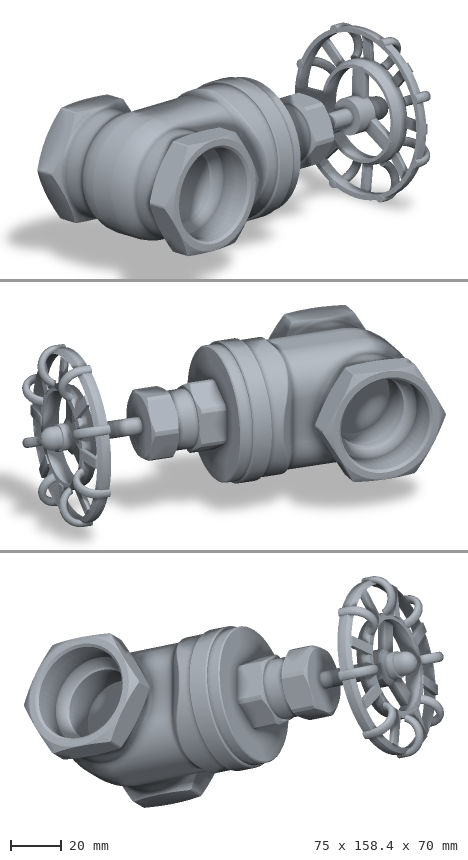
import cadquery as cq
import math


VALVE_LENGTH = 158.4

SELECTION_MARGIN = 0.2

HOUSING_LENGTH = 75.0
PIPE_RADIUS = 44.0 / 2
PIPE_CREASE_FILLET = 1.6

CHAMBER_HALF_WIDTH = 40.0 / 2
CHAMBER_HALF_DEPTH = 24.9
CHAMBER_CORNER_RADIUS = 30.0 / 2
CHAMBER_CENTRE_Y = -0.8
NECK_TOP_Y = 32.5
NECK_FILLET = 1.9
FLARE_ANGLE = 45.0
FLARE_FILLET = 0.8

PIPE_HEX_ACROSS_FLATS = 46.0
PIPE_HEX_CORNER_RADIUS = 26.3
PIPE_HEX_FACE_RADIUS = 22.8
PIPE_HEX_LENGTH = 12.0
PIPE_HEX_CHAMFER = 1.9
HEX_ROOT_LENGTH = 1.7

BORE_RADIUS = 38.0 / 2
BORE_MOUTH_RADIUS = 40.0 / 2
BORE_DEPTH = 14.3
SEAT_RADIUS = 31.7 / 2
PORT_RADIUS = 30.0 / 2
PORT_CHAMFER = 0.5
GATE_THICKNESS = 10.1

FLANGE_RADIUS = 55.0 / 2
BAND_RADIUS = 57.0 / 2
BAND_BOTTOM_Y = 44.8
BAND_TOP_Y = 53.0
FLANGE_TOP_Y = 58.3
FLANGE_EDGE_CHAMFER = 0.5

STEM_HEX_ACROSS_FLATS = 26.1
STEM_HEX_CORNER_RADIUS = 14.5
BONNET_HEX_TOP_Y = 69.9
COLLAR_RADIUS = 24.0 / 2
HEX_CHAMFER = 1.0
HEX_FACE_INSET = 0.2

NUT_BOTTOM_Y = 78.4
NUT_TOP_Y = 90.3
NUT_TURN = 5.0
STEM_RADIUS = 7.0 / 2

WHEEL_TURN = 0.7
HUB_RADIUS = 15.0 / 2
HUB_BOTTOM_Y = 111.0
HUB_SHOULDER_Y = 119.6
HUB_SHOULDER_HEIGHT = 1.6
WHEEL_BOTTOM_Y = 116.9
WHEEL_TOP_Y = 124.2

CAP_RADIUS = 9.5 / 2
CAP_BASE_RADIUS = 5.4
CAP_BASE_TOP_Y = 124.8
CAP_DOME_Y = 127.5
CAP_TOP_Y = VALVE_LENGTH - PIPE_HEX_CORNER_RADIUS

RIM_RADIUS = 70.0 / 2
RIM_INNER_RADIUS = 66.0 / 2
RIM_BEVEL_Y = 120.5
RIM_TOP_Y = 122.1

RING_RADIUS = 21.4
RING_TOP_Y = 123.5
RING_INNER_RADIUS = 37.0 / 2
RING_FACE_RADIUS = 20.0
RING_CHAMFER_HEIGHT = 3.2

ARM_COUNT = 3
FIRST_ARM_ANGLE = -90.0
ARM_WIDTH = 6.0
ARM_HEIGHT = 3.3

SPOKE_COUNT = 8
SPOKE_WIDTH = 4.1
SPOKE_HEIGHT = 1.9
SPOKE_RIM_TOP_Y = 122.9
SPOKE_RIM_OVERLAP = 0.3

LOOP_COUNT = 8
LOOP_TUBE_THICKNESS = 3.0
LOOP_TUBE_WIDTH = 4.0
LOOP_OUTER_RADIUS = 34.8
LOOP_INNER_RADIUS = 21.4
LOOP_BOTTOM_Y = 116.6
LOOP_BEND_Y = 120.4
LOOP_INNER_Y = 123.2


def revolve_about_y(points):
    """Solid of revolution about Y from the (radius, y) corners of its half section."""
    return cq.Workplane("XY").polyline(points).close().revolve(360, (0, 0), (0, 1))


def disc(radius, bottom, top):
    """Cylinder about Y between two heights."""
    return cq.Workplane("XZ", origin=(0, bottom, 0)).circle(radius).extrude(bottom - top)


def hex_bar(across_flats, bottom, top):
    """Hexagonal bar along Y with two corners on the X axis."""
    corner_diameter = across_flats / math.cos(math.radians(30))
    return cq.Workplane("XZ", origin=(0, bottom, 0)).polygon(6, corner_diameter).extrude(bottom - top)


def turned_about_y(body, angle):
    return body.rotate((0, 0, 0), (0, 1, 0), angle)


def edges_between(low_x, high_x, low_y, high_y):
    """Selector of the edges whose centres lie between the given X and Y limits."""
    return cq.selectors.BoxSelector((low_x, low_y, -BAND_RADIUS), (high_x, high_y, BAND_RADIUS))


def rounded_hex(across_flats, corner_radius, bottom, top, chamfer_bottom):
    """Hexagon along Y with rounded corners, chamfered at the top and, if asked, at the bottom."""
    face_radius = across_flats / 2 - HEX_FACE_INSET
    if chamfer_bottom:
        lower_points = [(0, bottom), (face_radius, bottom), (corner_radius, bottom + HEX_CHAMFER)]
    else:
        lower_points = [(0, bottom), (corner_radius, bottom)]
    upper_points = [(corner_radius, top - HEX_CHAMFER), (face_radius, top), (0, top)]
    envelope = revolve_about_y(lower_points + upper_points)
    return hex_bar(across_flats, bottom, top).intersect(envelope)




def neck_outline(y):
    """Workplane at height y, facing up, carrying the rounded rectangle of the neck."""
    sketch = (
        cq.Sketch()
        .rect(2 * CHAMBER_HALF_WIDTH, 2 * CHAMBER_HALF_DEPTH)
        .vertices()
        .fillet(CHAMBER_CORNER_RADIUS)
    )
    plane = cq.Plane(origin=(0, y, 0), xDir=(1, 0, 0), normal=(0, 1, 0))
    return cq.Workplane(plane).placeSketch(sketch)


def make_chamber():
    """Barrel about X below, carried upwards as a neck of the same rounded outline."""
    flat_x = CHAMBER_HALF_WIDTH - CHAMBER_CORNER_RADIUS
    flat_r = CHAMBER_HALF_DEPTH - CHAMBER_CORNER_RADIUS
    arc_step = CHAMBER_CORNER_RADIUS * math.sqrt(0.5)
    barrel = (
        cq.Workplane("XY", origin=(0, CHAMBER_CENTRE_Y, 0))
        .moveTo(-CHAMBER_HALF_WIDTH, 0)
        .lineTo(-CHAMBER_HALF_WIDTH, flat_r)
        .threePointArc((-flat_x - arc_step, flat_r + arc_step), (-flat_x, CHAMBER_HALF_DEPTH))
        .lineTo(flat_x, CHAMBER_HALF_DEPTH)
        .threePointArc((flat_x + arc_step, flat_r + arc_step), (CHAMBER_HALF_WIDTH, flat_r))
        .lineTo(CHAMBER_HALF_WIDTH, 0)
        .close()
        .revolve(360, (0, 0), (1, 0))
    )
    neck = neck_outline(CHAMBER_CENTRE_Y).extrude(NECK_TOP_Y - CHAMBER_CENTRE_Y)
    return barrel.union(neck)


def make_flange():
    """Round flange whose underside flares out of the neck at 45 degrees."""
    flare_height = BAND_BOTTOM_Y - NECK_TOP_Y
    flare = neck_outline(NECK_TOP_Y).extrude(flare_height, taper=-FLARE_ANGLE)
    return flare.intersect(disc(FLANGE_RADIUS, NECK_TOP_Y, BAND_BOTTOM_Y))


def make_pipe_hex():
    """Hexagon of the -X pipe end, both ends chamfered, with its root blending into the pipe."""
    outer_x = -HOUSING_LENGTH / 2
    inner_x = outer_x + PIPE_HEX_LENGTH
    corner_diameter = PIPE_HEX_ACROSS_FLATS / math.cos(math.radians(30))
    prism = (
        cq.Workplane("YZ", origin=(outer_x, 0, 0))
        .polygon(6, corner_diameter)
        .extrude(PIPE_HEX_LENGTH)
    )
    envelope = (
        cq.Workplane("XY")
        .moveTo(outer_x, 0)
        .lineTo(outer_x, PIPE_HEX_FACE_RADIUS)
        .lineTo(outer_x + PIPE_HEX_CHAMFER, PIPE_HEX_CORNER_RADIUS)
        .lineTo(inner_x - PIPE_HEX_CHAMFER, PIPE_HEX_CORNER_RADIUS)
        .lineTo(inner_x, PIPE_HEX_FACE_RADIUS)
        .lineTo(inner_x, 0)
        .close()
        .revolve(360, (0, 0), (1, 0))
    )
    rise = PIPE_HEX_FACE_RADIUS - PIPE_RADIUS
    root_radius = (HEX_ROOT_LENGTH**2 + rise**2) / (2 * rise)
    root = (
        cq.Workplane("XY")
        .moveTo(inner_x + HEX_ROOT_LENGTH, 0)
        .lineTo(inner_x + HEX_ROOT_LENGTH, PIPE_RADIUS)
        .radiusArc((inner_x, PIPE_HEX_FACE_RADIUS), root_radius)
        .lineTo(inner_x, 0)
        .close()
        .revolve(360, (0, 0), (1, 0))
    )
    return prism.intersect(envelope).union(root)


def make_bore():
    """Blind stepped bore of the -X pipe end, from the mouth to the closed gate."""
    outer_x = -HOUSING_LENGTH / 2
    shoulder_x = outer_x + BORE_DEPTH
    seat_x = shoulder_x + BORE_RADIUS - SEAT_RADIUS
    points = [
        (outer_x, 0),
        (outer_x, BORE_MOUTH_RADIUS),
        (outer_x + BORE_MOUTH_RADIUS - BORE_RADIUS, BORE_RADIUS),
        (shoulder_x, BORE_RADIUS),
        (seat_x, SEAT_RADIUS),
        (seat_x + PORT_CHAMFER, PORT_RADIUS),
        (-GATE_THICKNESS / 2, PORT_RADIUS),
        (-GATE_THICKNESS / 2, 0),
    ]
    return cq.Workplane("XY").polyline(points).close().revolve(360, (0, 0), (1, 0))


def make_bonnet():
    """Flange band, hexagon and collar above the flared flange."""
    band = disc(BAND_RADIUS, BAND_BOTTOM_Y, BAND_TOP_Y).edges().chamfer(FLANGE_EDGE_CHAMFER)
    cover = disc(FLANGE_RADIUS, BAND_TOP_Y, FLANGE_TOP_Y).edges(">Y").chamfer(FLANGE_EDGE_CHAMFER)
    hexagon = rounded_hex(
        STEM_HEX_ACROSS_FLATS, STEM_HEX_CORNER_RADIUS, FLANGE_TOP_Y, BONNET_HEX_TOP_Y, False
    )
    hexagon = turned_about_y(hexagon, 30.0)
    collar = disc(COLLAR_RADIUS, BONNET_HEX_TOP_Y, NUT_BOTTOM_Y)
    return band.union(cover).union(hexagon).union(collar)


def make_shell():
    """Chamber, flared flange and pipe, with the creases between them rounded."""
    half_pipe = HOUSING_LENGTH / 2 - PIPE_HEX_LENGTH
    pipe = cq.Workplane("YZ", origin=(-half_pipe, 0, 0)).circle(PIPE_RADIUS).extrude(2 * half_pipe)
    shell = make_chamber().union(make_flange()).union(pipe)

    neck_low_y = NECK_TOP_Y - SELECTION_MARGIN
    neck_high_y = NECK_TOP_Y + SELECTION_MARGIN
    shell = shell.edges(edges_between(-BAND_RADIUS, BAND_RADIUS, neck_low_y, neck_high_y))
    shell = shell.fillet(NECK_FILLET)

    flare_low_y = NECK_TOP_Y + NECK_FILLET / 2
    flare_high_y = BAND_BOTTOM_Y - SELECTION_MARGIN
    shell = shell.edges(edges_between(-BAND_RADIUS, BAND_RADIUS, flare_low_y, flare_high_y))
    shell = shell.fillet(FLARE_FILLET)

    near_x = CHAMBER_HALF_WIDTH - CHAMBER_CORNER_RADIUS + SELECTION_MARGIN
    far_x = half_pipe - SELECTION_MARGIN
    for low_x, high_x in ((-far_x, -near_x), (near_x, far_x)):
        creases = edges_between(low_x, high_x, -PIPE_RADIUS, PIPE_RADIUS)
        shell = shell.edges(creases).fillet(PIPE_CREASE_FILLET)
    return shell


def make_housing():
    housing = make_shell().union(make_bonnet())
    pipe_hex = make_pipe_hex()
    housing = housing.union(pipe_hex).union(pipe_hex.mirror("YZ"))
    bore = make_bore()
    return housing.cut(bore).cut(bore.mirror("YZ"))




def make_spindle():
    """Gland nut and the stem that rises from it to the handwheel hub."""
    nut = rounded_hex(
        STEM_HEX_ACROSS_FLATS, STEM_HEX_CORNER_RADIUS, NUT_BOTTOM_Y, NUT_TOP_Y, True
    )
    nut = turned_about_y(nut, NUT_TURN)
    return nut.union(disc(STEM_RADIUS, NUT_TOP_Y, HUB_BOTTOM_Y))




def make_hub():
    """Stepped hub closed by a domed cap."""
    dome_height = CAP_TOP_Y - CAP_DOME_Y
    top_radius = math.sqrt(CAP_RADIUS**2 - dome_height**2)
    dome_step = CAP_RADIUS * math.sqrt(0.5)
    return (
        cq.Workplane("XY")
        .moveTo(0, HUB_BOTTOM_Y)
        .lineTo(HUB_RADIUS, HUB_BOTTOM_Y)
        .lineTo(HUB_RADIUS, HUB_SHOULDER_Y)
        .lineTo(CAP_BASE_RADIUS, HUB_SHOULDER_Y + HUB_SHOULDER_HEIGHT)
        .lineTo(CAP_BASE_RADIUS, CAP_BASE_TOP_Y)
        .lineTo(CAP_RADIUS, CAP_BASE_TOP_Y)
        .lineTo(CAP_RADIUS, CAP_DOME_Y)
        .threePointArc((dome_step, CAP_DOME_Y + dome_step), (top_radius, CAP_TOP_Y))
        .lineTo(0, CAP_TOP_Y)
        .close()
        .revolve(360, (0, 0), (0, 1))
    )


def make_rim():
    """Outer rim, bevelled from its outside up to its inner edge."""
    points = [
        (RIM_INNER_RADIUS, WHEEL_BOTTOM_Y),
        (RIM_RADIUS, WHEEL_BOTTOM_Y),
        (RIM_RADIUS, RIM_BEVEL_Y),
        (RIM_INNER_RADIUS, RIM_TOP_Y),
    ]
    return revolve_about_y(points)


def make_ring():
    """Inner ring, bevelled on the outside towards the housing."""
    points = [
        (RING_INNER_RADIUS, WHEEL_BOTTOM_Y),
        (RING_FACE_RADIUS, WHEEL_BOTTOM_Y),
        (RING_RADIUS, WHEEL_BOTTOM_Y + RING_CHAMFER_HEIGHT),
        (RING_RADIUS, RING_TOP_Y),
        (RING_INNER_RADIUS, RING_TOP_Y),
    ]
    return revolve_about_y(points)


def make_arm():
    """Arm along +X from the hub to the inner ring."""
    length = (RING_INNER_RADIUS + RING_RADIUS) / 2
    return (
        cq.Workplane("XY")
        .box(length, ARM_HEIGHT, ARM_WIDTH, centered=(False, False, True))
        .translate((0, WHEEL_BOTTOM_Y, 0))
    )


def make_spoke():
    """Spoke along +X sloping from the inner ring down to the rim."""
    inner = (RING_INNER_RADIUS + RING_RADIUS) / 2
    outer = RIM_INNER_RADIUS + SPOKE_RIM_OVERLAP
    return (
        cq.Workplane("XY", origin=(0, 0, -SPOKE_WIDTH / 2))
        .polyline([
            (inner, WHEEL_TOP_Y - SPOKE_HEIGHT),
            (outer, SPOKE_RIM_TOP_Y - SPOKE_HEIGHT),
            (outer, SPOKE_RIM_TOP_Y),
            (inner, WHEEL_TOP_Y),
        ])
        .close()
        .extrude(SPOKE_WIDTH)
    )


def make_loop():
    """Finger loop along +X: a tube rising from the rim and arching over to the inner ring."""
    path = (
        cq.Workplane("XY")
        .moveTo(LOOP_OUTER_RADIUS, LOOP_BOTTOM_Y)
        .lineTo(LOOP_OUTER_RADIUS, LOOP_BEND_Y)
        .tangentArcPoint((LOOP_INNER_RADIUS, LOOP_INNER_Y), relative=False)
    )
    start = cq.Workplane("XZ", origin=(LOOP_OUTER_RADIUS, LOOP_BOTTOM_Y, 0))
    return start.ellipse(LOOP_TUBE_THICKNESS / 2, LOOP_TUBE_WIDTH / 2).sweep(path)


def make_handwheel():
    wheel = make_hub().union(make_rim()).union(make_ring())
    arm = make_arm()
    for i in range(ARM_COUNT):
        wheel = wheel.union(turned_about_y(arm, FIRST_ARM_ANGLE + i * 360 / ARM_COUNT))
    spoke = make_spoke()
    for i in range(SPOKE_COUNT):
        wheel = wheel.union(turned_about_y(spoke, i * 360 / SPOKE_COUNT))
    loop = make_loop()
    for i in range(LOOP_COUNT):
        wheel = wheel.union(turned_about_y(loop, (i + 0.5) * 360 / LOOP_COUNT))
    return turned_about_y(wheel, WHEEL_TURN)


housing = make_housing()
spindle = make_spindle()
handwheel = make_handwheel()

result = cq.Compound.makeCompound([housing.val(), spindle.val(), handwheel.val()])